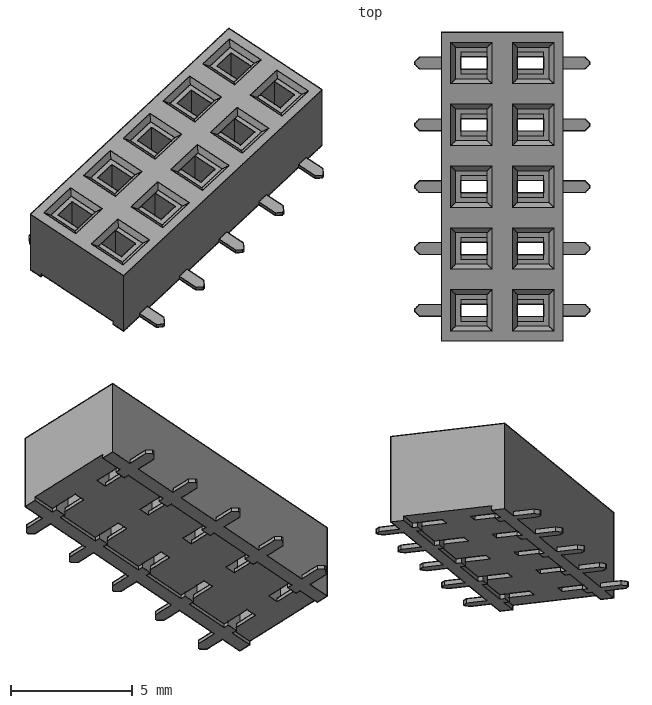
import cadquery as cq

length = 12.7
width = 5.0
height = 3.7
rail_width = 0.57
rail_height = 0.19

rows = 5
pitch = 2.54
column_offset = pitch / 2
row_positions = [(row - (rows - 1) / 2) * pitch for row in range(rows)]

mouth_size = 1.7
throat_size = 1.3
lead_in_depth = 0.19
cavity_length = 1.08
cavity_width = 0.9
floor_thickness = 0.19

tail_span = 7.2
tail_width = 0.5
tail_thickness = rail_height
tip_length = 0.2
tip_width = 0.1

cavity_inner = column_offset - throat_size / 2
cavity_outer = cavity_inner + cavity_length
cavity_middle = (cavity_inner + cavity_outer) / 2


def make_housing():
    block = cq.Workplane("XY").box(width, length, height, centered=(True, True, False))
    recess = cq.Workplane("XY").box(
        width - 2 * rail_width, length, rail_height, centered=(True, True, False)
    )
    return block.cut(recess)


def make_socket(y):
    """Hollow of one right-hand socket: tapered mouth, cavity and slot through the floor."""
    lead_in = (
        cq.Workplane("XY", origin=(column_offset, y, height))
        .rect(mouth_size, mouth_size)
        .workplane(offset=-lead_in_depth)
        .rect(throat_size, throat_size)
        .loft(ruled=True)
    )
    cavity_floor = rail_height + floor_thickness
    cavity = cq.Workplane("XY", origin=(cavity_middle, y, cavity_floor)).box(
        cavity_length, cavity_width, height - lead_in_depth - cavity_floor, centered=(True, True, False)
    )
    slot = cq.Workplane("XY", origin=(cavity_middle, y, rail_height)).box(
        cavity_length, tail_width, floor_thickness, centered=(True, True, False)
    )
    return lead_in.union(cavity).union(slot)


def make_tail(y):
    """One right-hand tail, from the cavity's outer side to its tapered tip."""
    tip = tail_span / 2
    shoulder = tip - tip_length
    outline = [
        (cavity_outer, y - tail_width / 2),
        (shoulder, y - tail_width / 2),
        (tip, y - tip_width / 2),
        (tip, y + tip_width / 2),
        (shoulder, y + tail_width / 2),
        (cavity_outer, y + tail_width / 2),
    ]
    return cq.Workplane("XY").polyline(outline).close().extrude(tail_thickness)


result = make_housing()
for row_y in row_positions:
    socket = make_socket(row_y)
    tail = make_tail(row_y)
    result = result.cut(socket).cut(socket.mirror("YZ"))
    result = result.union(tail).union(tail.mirror("YZ"))